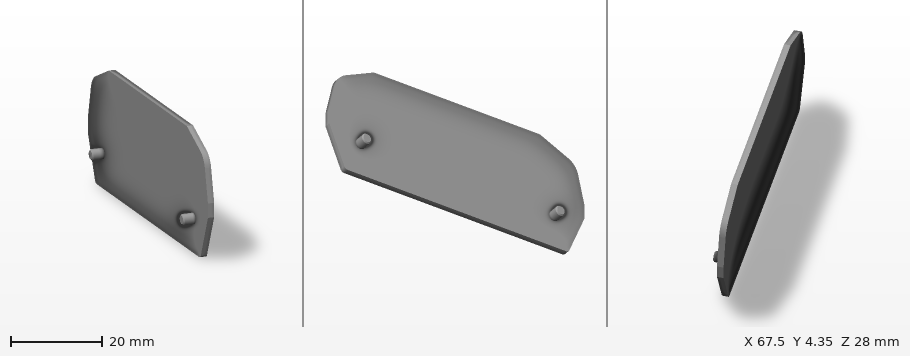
import cadquery as cq

plate_height = 28.0
plate_thickness = 1.5

bottom_half_width = 29.5
side_half_width = 33.75
side_flat_bottom = 10.4
side_flat_top = 13.7
shoulder_half_width = 31.5
shoulder_height = 23.55
top_half_width = 21.95

bottom_radius = 1.0
shoulder_radius = 4.7

pin_diameter = 2.5
pin_length = 2.85
pin_chamfer = 0.3
pin_offset = 25.6
pin_height = 7.95


def round_corners(body, half_width, height, radius):
    """Round the plate corner at this place and its mirror image."""
    for x in (-half_width, half_width):
        corner = cq.selectors.NearestToPointSelector((x, plate_thickness / 2, height))
        body = body.edges("|Y").edges(corner).fillet(radius)
    return body


def make_plate():
    right_half = [
        (bottom_half_width, 0),
        (side_half_width, side_flat_bottom),
        (side_half_width, side_flat_top),
        (shoulder_half_width, shoulder_height),
        (top_half_width, plate_height),
    ]
    left_half = [(-x, z) for x, z in reversed(right_half)]
    plate = cq.Workplane("XZ").polyline(right_half + left_half).close().extrude(-plate_thickness)
    plate = round_corners(plate, bottom_half_width, 0, bottom_radius)
    return round_corners(plate, shoulder_half_width, shoulder_height, shoulder_radius)


def make_pin(x):
    pin = cq.Workplane("XZ").center(x, pin_height).circle(pin_diameter / 2).extrude(pin_length)
    return pin.faces("<Y").chamfer(pin_chamfer)


result = make_plate()
for pin_x in (-pin_offset, pin_offset):
    result = result.union(make_pin(pin_x))